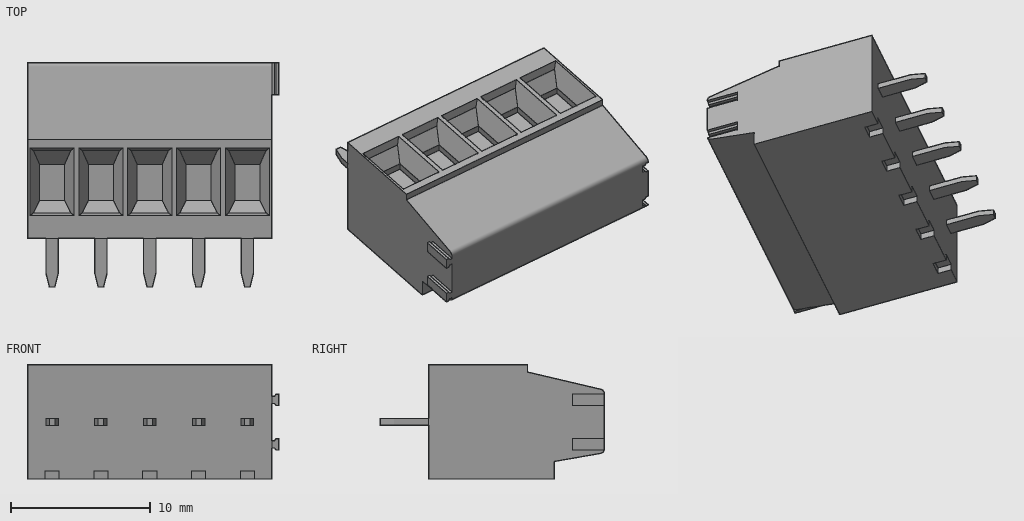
import cadquery as cq

pole_count = 5
body_width = 17.5
body_depth = 12.6
body_height = 8.2
pitch = body_width / pole_count
pole_centers = [(pole + 0.5) * pitch for pole in range(pole_count)]

top_step_y = 7.1
top_step_drop = 0.52
top_back_drop = 1.82
bottom_step_y = 9.0
bottom_step_rise = 1.26
bottom_back_rise = 1.89
back_edge_radius = 0.36

pocket_width = 3.17
pocket_front_y = 1.64
pocket_length = 4.86
throat_width = 1.8
throat_front_y = 2.72
throat_length = 2.6
lip_depth = 0.54
lip_inset = 0.2
funnel_depth = 1.5
pocket_depth = 2.0

pin_width = 0.9
pin_thickness = 0.5
pin_length = 3.5
pin_tip_width = 0.4
pin_tip_length = 1.0
pin_center_z = body_height / 2

notch_width = 1.0
notch_height = 0.6
notch_depth = 1.0

rail_depth = 0.5
rail_head_width = 0.83
rail_head_depth = 0.2
rail_neck_width = 0.54
rail_neck_depth = 0.2
rail_length = 2.3
rail_heights = [2.5, 5.69]


def make_housing():
    """Side profile extruded along X, with the two back edges rounded."""
    profile = [
        (0, 0),
        (bottom_step_y, 0),
        (bottom_step_y, bottom_step_rise),
        (body_depth, bottom_back_rise),
        (body_depth, body_height - top_back_drop),
        (top_step_y, body_height - top_step_drop),
        (top_step_y, body_height),
        (0, body_height),
    ]
    housing = cq.Workplane("YZ").polyline(profile).close().extrude(body_width)
    return housing.faces(">Y").edges("|X").fillet(back_edge_radius)


def make_pocket(center_x):
    """Funnel pocket: its width profile and its length profile intersected."""
    funnel_z = body_height - funnel_depth
    floor_z = body_height - pocket_depth
    lip_z = body_height - lip_depth
    pocket_back_y = pocket_front_y + pocket_length
    throat_back_y = throat_front_y + throat_length

    width_profile = [
        (center_x - pocket_width / 2, body_height),
        (center_x - throat_width / 2, funnel_z),
        (center_x - throat_width / 2, floor_z),
        (center_x + throat_width / 2, floor_z),
        (center_x + throat_width / 2, funnel_z),
        (center_x + pocket_width / 2, body_height),
    ]
    length_profile = [
        (pocket_front_y, body_height),
        (pocket_front_y + lip_inset, lip_z),
        (throat_front_y, funnel_z),
        (throat_front_y, floor_z),
        (throat_back_y, floor_z),
        (throat_back_y, funnel_z),
        (pocket_back_y - lip_inset, lip_z),
        (pocket_back_y, body_height),
    ]
    across = cq.Workplane("XZ").polyline(width_profile).close().extrude(-body_depth)
    along = cq.Workplane("YZ").polyline(length_profile).close().extrude(body_width)
    return across.intersect(along)


def make_pin(center_x):
    """Flat pin pointing to -Y with a tapered tip."""
    profile = [
        (center_x - pin_width / 2, 0),
        (center_x - pin_width / 2, pin_tip_length - pin_length),
        (center_x - pin_tip_width / 2, -pin_length),
        (center_x + pin_tip_width / 2, -pin_length),
        (center_x + pin_width / 2, pin_tip_length - pin_length),
        (center_x + pin_width / 2, 0),
    ]
    plane = cq.Workplane("XY", origin=(0, 0, pin_center_z))
    return plane.polyline(profile).close().extrude(pin_thickness / 2, both=True)


def make_notch(center_x):
    """Rectangular notch in the lower front edge."""
    return cq.Workplane("XY").box(
        notch_width, notch_depth, notch_height, centered=(True, False, False)
    ).translate((center_x, 0, 0))


def make_rail(head_x, inward, center_z):
    """Rail with its wide head at head_x; inward (+1 or -1) is the X direction to its neck."""
    flare_x = head_x + inward * rail_head_depth
    neck_x = head_x + inward * (rail_depth - rail_neck_depth)
    root_x = head_x + inward * rail_depth
    profile = [
        (head_x, center_z - rail_head_width / 2),
        (flare_x, center_z - rail_head_width / 2),
        (neck_x, center_z - rail_neck_width / 2),
        (root_x, center_z - rail_neck_width / 2),
        (root_x, center_z + rail_neck_width / 2),
        (neck_x, center_z + rail_neck_width / 2),
        (flare_x, center_z + rail_head_width / 2),
        (head_x, center_z + rail_head_width / 2),
    ]
    plane = cq.Workplane("XZ", origin=(0, body_depth, 0))
    return plane.polyline(profile).close().extrude(rail_length)


result = make_housing()

for x in pole_centers:
    result = result.cut(make_pocket(x)).cut(make_notch(x)).union(make_pin(x))

for z in rail_heights:
    result = result.union(make_rail(body_width + rail_depth, -1, z))
    result = result.cut(make_rail(0, 1, z))